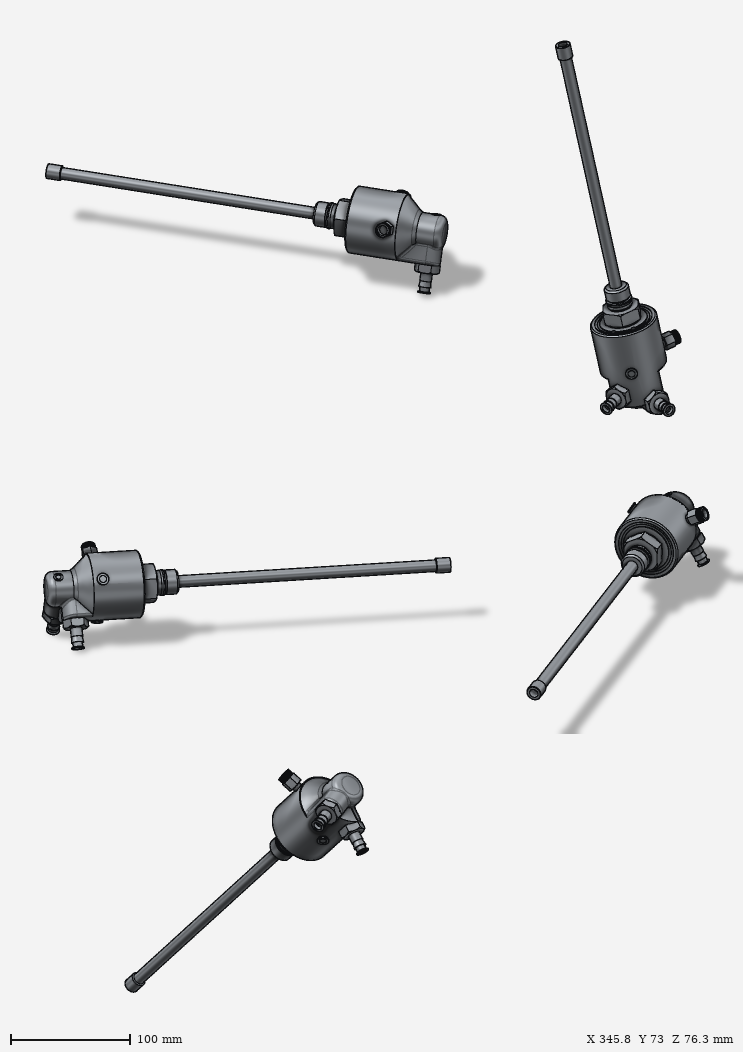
import cadquery as cq
import math

TOTAL_LENGTH = 345.8

TIP_RADIUS = 12.7 / 2
TIP_LENGTH = 12.0
TIP_CHAMFER = 0.5
TIP_BORE_DIAMETER = 7.5
TIP_BORE_DEPTH = 10.0
ROD_RADIUS = 10.0 / 2
FITTING_START = 233.5
THREAD_RADIUS = 20.955 / 2
THREAD_CHAMFER = 1.6
RELIEF_START = 243.7
RELIEF_RADIUS = 17.7 / 2
COLLAR_START = 245.5
COLLAR_LENGTH = 1.3
COLLAR_RADIUS = 22.2 / 2
STEP_END = 248.6
STEP_RADIUS = 10.7
SHOULDER_END = 251.7
NECK_RADIUS = 9.5
HEX_START = 253.2
HEX_END = 264.8
HEX_ACROSS_FLATS = 30.0
HEX_FACE_RADIUS = 15.6
HEX_CHAMFER_LENGTH = 0.8

HOUSING_START = 266.0
HOUSING_RADIUS = 28.5
HOUSING_CHAMFER = 1.2
CYLINDER_END = 309.8
CONE_STEP = 1.0
CONE_END = 321.3
CONE_END_RADIUS = 17.0
REAR_START = 324.5
REAR_RADIUS = 15.0
REAR_FILLET = 6.0
FACE_GROOVE_INNER_RADIUS = 20.4
FACE_GROOVE_OUTER_RADIUS = 24.6
FACE_GROOVE_STEP_RADIUS = 22.5
FACE_GROOVE_INNER_DEPTH = 1.0
FACE_GROOVE_DEPTH = 0.6
FACE_HOLE_DIAMETER = 3.1
FACE_HOLE_DEPTH = 3.0
FACE_HOLE_Y = 8.5
FACE_HOLE_Z = -18.6

HOSE_ANGLE = 150.0
GLAND_ANGLE = 60.0
PLUG_ANGLES = (180.0, -60.0)
SCREW_ANGLE = HOSE_ANGLE - 180.0

NEAR_HOSE_X = 334.7
FAR_HOSE_X = 323.2
HOSES = ((NEAR_HOSE_X, HOSE_ANGLE), (FAR_HOSE_X, -HOSE_ANGLE))
PAD_HALF_WIDTH = 10.5
PAD_TOP_FILLET = 3.0
NEAR_ROOT_FILLET = 3.0
FAR_ROOT_FILLET = 2.5
HOSE_NUT_BASE = 27.5
HOSE_NUT_TOP = 34.7
HOSE_NUT_ACROSS_FLATS = 19.0
HOSE_NUT_CHAMFER = 1.2
BARREL_TOP = 42.0
BARREL_RADIUS = 10.0 / 2
BARB_TOP = 47.0
BARB_ROOT_RADIUS = 9.0 / 2
BARB_RADIUS = 10.5 / 2
HOSE_END = 52.04
END_ROOT_RADIUS = 8.4 / 2
END_FLANGE_RADIUS = 11.0 / 2
END_FLANGE_THICKNESS = 0.6
HOSE_BORE_DIAMETER = 7.0
HOSE_BORE_DEPTH = 6.0

PORT_X = 302.0
GLAND_NECK_RADIUS = 8.0 / 2
GLAND_HEX_START = 31.4
GLAND_HEX_END = 40.2
GLAND_HEX_ACROSS_FLATS = 12.0
GLAND_COLLAR_RADIUS = 10.0 / 2
GLAND_THREAD_START = 40.8
GLAND_END = 45.27
GLAND_THREAD_RADIUS = 12.0 / 2
GLAND_GROOVE_DEPTH = 0.5
GLAND_GROOVE_WIDTH = 0.5
GLAND_GROOVE_COUNT = 3
GLAND_BORE_DIAMETER = 8.4
GLAND_BORE_DEPTH = 8.0
PLUG_NECK_RADIUS = 8.0 / 2
PLUG_FLANGE_RADIUS = 10.0 / 2
PLUG_FLANGE_START = 30.0
PLUG_TOP = 31.2
PLUG_SOCKET_DIAMETER = 6.0
PLUG_SOCKET_DEPTH = 0.5

SCREW_X = 336.5
SCREW_RADIUS = 8.0 / 2
SCREW_TOP = 15.3
SCREW_SOCKET_DIAMETER = 4.6
SCREW_SOCKET_DEPTH = 1.0

ROOT = 10.0

TOOL_MARGIN = 1.0

QUARTER_TURN = 90


def across_corners(across_flats):
    return across_flats / math.cos(math.radians(30))


def turned_on_x(points):
    """Revolve an (x, radius) outline about the X axis."""
    return cq.Workplane("XY").polyline(points).close().revolve(360, (0, 0, 0), (1, 0, 0))


def turned_on_z(points):
    """Revolve a (radius, z) outline about the Z axis."""
    return cq.Workplane("XZ").polyline(points).close().revolve(360, (0, 0, 0), (0, 1, 0))


def cylinder_on_z(radius, start, end):
    return cq.Workplane("XY").workplane(offset=start).circle(radius).extrude(end - start)


def hex_on_z(across_flats, start, end):
    corners = across_corners(across_flats)
    return cq.Workplane("XY").workplane(offset=start).polygon(6, corners).extrude(end - start)


def aim(shape, x, angle):
    """Move a shape built along +Z to station x and turn it about the X axis."""
    return shape.rotate((0, 0, 0), (1, 0, 0), angle).translate((x, 0, 0))


def make_probe():
    outline = [
        (0, 0),
        (0, TIP_RADIUS - TIP_CHAMFER),
        (TIP_CHAMFER, TIP_RADIUS),
        (TIP_LENGTH, TIP_RADIUS),
        (TIP_LENGTH + TIP_CHAMFER, ROD_RADIUS),
        (FITTING_START, ROD_RADIUS),
        (FITTING_START, THREAD_RADIUS - THREAD_CHAMFER),
        (FITTING_START + THREAD_CHAMFER, THREAD_RADIUS),
        (RELIEF_START, THREAD_RADIUS),
        (RELIEF_START, RELIEF_RADIUS),
        (COLLAR_START, RELIEF_RADIUS),
        (COLLAR_START, COLLAR_RADIUS),
        (COLLAR_START + COLLAR_LENGTH, COLLAR_RADIUS),
        (COLLAR_START + COLLAR_LENGTH, STEP_RADIUS),
        (STEP_END, STEP_RADIUS),
        (STEP_END, THREAD_RADIUS),
        (SHOULDER_END, THREAD_RADIUS),
        (SHOULDER_END, NECK_RADIUS),
        (HEX_START, NECK_RADIUS),
        (HEX_START, HEX_ACROSS_FLATS / 2),
        (HOUSING_START, HEX_ACROSS_FLATS / 2),
        (HOUSING_START, 0),
    ]
    hexagon = (
        cq.Workplane("YZ")
        .workplane(offset=HEX_START)
        .polygon(6, across_corners(HEX_ACROSS_FLATS))
        .extrude(HEX_END - HEX_START)
        .rotate((0, 0, 0), (1, 0, 0), QUARTER_TURN)
    )
    hex_corner = across_corners(HEX_ACROSS_FLATS) / 2
    hex_envelope = turned_on_x([
        (HEX_START, 0),
        (HEX_START, HEX_FACE_RADIUS),
        (HEX_START + HEX_CHAMFER_LENGTH, hex_corner),
        (HEX_END - HEX_CHAMFER_LENGTH, hex_corner),
        (HEX_END, HEX_FACE_RADIUS),
        (HEX_END, 0),
    ])
    hexagon = hexagon.intersect(hex_envelope)
    bore = cq.Workplane("YZ").circle(TIP_BORE_DIAMETER / 2).extrude(TIP_BORE_DEPTH)
    return turned_on_x(outline).union(hexagon).cut(bore)


def make_drum():
    """Full housing cylinder with its front chamfer, before the rear is cut away."""
    return turned_on_x([
        (HOUSING_START, 0),
        (HOUSING_START, HOUSING_RADIUS - HOUSING_CHAMFER),
        (HOUSING_START + HOUSING_CHAMFER, HOUSING_RADIUS),
        (TOTAL_LENGTH, HOUSING_RADIUS),
        (TOTAL_LENGTH, 0),
    ])


def make_front_block():
    """Block that covers the front of the drum, which stays fully round."""
    width = 2 * (HOUSING_RADIUS + TOOL_MARGIN)
    return (
        cq.Workplane("YZ")
        .workplane(offset=HOUSING_START)
        .rect(width, width)
        .extrude(CYLINDER_END - HOUSING_START)
    )


def make_belly_wedge():
    """Wedge between the two hose axes, where the drum runs on underneath."""
    depth = HOUSING_RADIUS + TOOL_MARGIN
    half_width = depth * math.tan(math.radians(180 - HOSE_ANGLE))
    return (
        cq.Workplane("YZ")
        .workplane(offset=HOUSING_START)
        .polyline([(0, 0), (half_width, -depth), (-half_width, -depth)])
        .close()
        .extrude(NEAR_HOSE_X - HOUSING_START)
    )


def make_pad_column(hose_x):
    """Flat-sided column around a hose axis, rounded about that axis at its rear end."""
    front = HOUSING_START - hose_x
    return (
        cq.Workplane("XY")
        .moveTo(front, -PAD_HALF_WIDTH)
        .lineTo(0, -PAD_HALF_WIDTH)
        .threePointArc((PAD_HALF_WIDTH, 0), (0, PAD_HALF_WIDTH))
        .lineTo(front, PAD_HALF_WIDTH)
        .close()
        .extrude(HOUSING_RADIUS + TOOL_MARGIN)
    )


def make_core():
    """Cone behind the drum and the small rear cylinder."""
    outline = [
        (CYLINDER_END, 0),
        (CYLINDER_END, HOUSING_RADIUS - CONE_STEP),
        (CONE_END, CONE_END_RADIUS),
        (REAR_START, REAR_RADIUS),
        (TOTAL_LENGTH, REAR_RADIUS),
        (TOTAL_LENGTH, 0),
    ]
    return turned_on_x(outline).faces(">X").edges().fillet(REAR_FILLET)


def pad_side_point(x, radius, angle):
    """Point on the outward flat side of a pad, at a distance of radius from the probe axis."""
    along = math.sqrt(radius**2 - PAD_HALF_WIDTH**2)
    side = math.copysign(PAD_HALF_WIDTH, angle)
    turn = math.radians(angle)
    y = side * math.cos(turn) - along * math.sin(turn)
    z = side * math.sin(turn) + along * math.cos(turn)
    return (x, y, z)


def fillet_edge_at(body, point, radius):
    """Round the edge nearest to a point, with the edges that run on from it smoothly."""
    return body.edges(cq.selectors.NearestToPointSelector(point)).fillet(radius)


def make_shell():
    """Drum, pads and core in one piece, with the pad edges rounded."""
    kept = make_front_block().union(make_belly_wedge())
    for hose_x, angle in HOSES:
        kept = kept.union(aim(make_pad_column(hose_x), hose_x, angle))
    shell = make_drum().intersect(kept)
    for hose_x, angle in HOSES:
        edge_point = pad_side_point((CYLINDER_END + hose_x) / 2, HOUSING_RADIUS, angle)
        shell = fillet_edge_at(shell, edge_point, PAD_TOP_FILLET)
    shell = shell.union(make_core())
    cone_x = (CYLINDER_END + CONE_END) / 2
    cone_radius = (HOUSING_RADIUS - CONE_STEP + CONE_END_RADIUS) / 2
    rear_x = (REAR_START + NEAR_HOSE_X) / 2
    shell = fillet_edge_at(shell, pad_side_point(cone_x, cone_radius, HOSE_ANGLE), NEAR_ROOT_FILLET)
    shell = fillet_edge_at(shell, pad_side_point(rear_x, REAR_RADIUS, HOSE_ANGLE), NEAR_ROOT_FILLET)
    return fillet_edge_at(shell, pad_side_point(rear_x, REAR_RADIUS, -HOSE_ANGLE), FAR_ROOT_FILLET)


def make_hose_connector():
    nut_corner = across_corners(HOSE_NUT_ACROSS_FLATS) / 2
    nut_envelope = turned_on_z([
        (0, HOSE_NUT_BASE),
        (nut_corner, HOSE_NUT_BASE),
        (nut_corner, HOSE_NUT_TOP - HOSE_NUT_CHAMFER),
        (HOSE_NUT_ACROSS_FLATS / 2, HOSE_NUT_TOP),
        (0, HOSE_NUT_TOP),
    ])
    nut = hex_on_z(HOSE_NUT_ACROSS_FLATS, HOSE_NUT_BASE, HOSE_NUT_TOP).intersect(nut_envelope)
    stem = turned_on_z([
        (0, ROOT),
        (BARREL_RADIUS, ROOT),
        (BARREL_RADIUS, BARREL_TOP),
        (BARB_ROOT_RADIUS, BARREL_TOP),
        (BARB_RADIUS, BARB_TOP),
        (END_ROOT_RADIUS, BARB_TOP),
        (END_ROOT_RADIUS, HOSE_END - 2 * END_FLANGE_THICKNESS),
        (END_FLANGE_RADIUS, HOSE_END - END_FLANGE_THICKNESS),
        (END_FLANGE_RADIUS, HOSE_END),
        (0, HOSE_END),
    ])
    bore = cylinder_on_z(HOSE_BORE_DIAMETER / 2, HOSE_END - HOSE_BORE_DEPTH, HOSE_END)
    return nut.union(stem).cut(bore)


def make_gland():
    neck = cylinder_on_z(GLAND_NECK_RADIUS, ROOT, GLAND_HEX_START)
    hexagon = hex_on_z(GLAND_HEX_ACROSS_FLATS, GLAND_HEX_START, GLAND_HEX_END)
    hexagon = hexagon.rotate((0, 0, 0), (0, 0, 1), QUARTER_TURN)
    collar = cylinder_on_z(GLAND_COLLAR_RADIUS, GLAND_HEX_END, GLAND_THREAD_START)
    thread = cylinder_on_z(GLAND_THREAD_RADIUS, GLAND_THREAD_START, GLAND_END)
    pitch = (GLAND_END - GLAND_THREAD_START) / (GLAND_GROOVE_COUNT + 1)
    for index in range(1, GLAND_GROOVE_COUNT + 1):
        groove_start = GLAND_THREAD_START + index * pitch - GLAND_GROOVE_WIDTH / 2
        groove = cylinder_on_z(GLAND_THREAD_RADIUS, groove_start, groove_start + GLAND_GROOVE_WIDTH)
        core = cylinder_on_z(
            GLAND_THREAD_RADIUS - GLAND_GROOVE_DEPTH, groove_start, groove_start + GLAND_GROOVE_WIDTH
        )
        thread = thread.cut(groove.cut(core))
    bore = cylinder_on_z(GLAND_BORE_DIAMETER / 2, GLAND_END - GLAND_BORE_DEPTH, GLAND_END)
    return neck.union(hexagon).union(collar).union(thread).cut(bore)


def make_plug():
    neck = cylinder_on_z(PLUG_NECK_RADIUS, ROOT, PLUG_FLANGE_START)
    flange = cylinder_on_z(PLUG_FLANGE_RADIUS, PLUG_FLANGE_START, PLUG_TOP)
    socket = cylinder_on_z(PLUG_SOCKET_DIAMETER / 2, PLUG_TOP - PLUG_SOCKET_DEPTH, PLUG_TOP)
    return neck.union(flange).cut(socket)


def make_screw():
    head = cylinder_on_z(SCREW_RADIUS, ROOT, SCREW_TOP)
    socket = cylinder_on_z(SCREW_SOCKET_DIAMETER / 2, SCREW_TOP - SCREW_SOCKET_DEPTH, SCREW_TOP)
    return head.cut(socket)


def cut_front_face(body):
    """Ring groove and two small holes in the front face around the fitting."""
    face = cq.Workplane("YZ").workplane(offset=HOUSING_START)
    groove = (
        face.circle(FACE_GROOVE_OUTER_RADIUS)
        .circle(FACE_GROOVE_INNER_RADIUS)
        .extrude(FACE_GROOVE_DEPTH)
    )
    inner_groove = (
        face.circle(FACE_GROOVE_STEP_RADIUS)
        .circle(FACE_GROOVE_INNER_RADIUS)
        .extrude(FACE_GROOVE_INNER_DEPTH)
    )
    holes = (
        face.pushPoints([(FACE_HOLE_Y, FACE_HOLE_Z), (-FACE_HOLE_Y, FACE_HOLE_Z)])
        .circle(FACE_HOLE_DIAMETER / 2)
        .extrude(FACE_HOLE_DEPTH)
    )
    return body.cut(groove).cut(inner_groove).cut(holes)


def make_housing():
    body = make_shell()
    for hose_x, angle in HOSES:
        body = body.union(aim(make_hose_connector(), hose_x, angle))
    body = body.union(aim(make_gland(), PORT_X, GLAND_ANGLE))
    for angle in PLUG_ANGLES:
        body = body.union(aim(make_plug(), PORT_X, angle))
    body = body.union(aim(make_screw(), SCREW_X, SCREW_ANGLE))
    return cut_front_face(body)


probe = make_probe()
housing = make_housing()

result = cq.Compound.makeCompound([probe.val(), housing.val()])